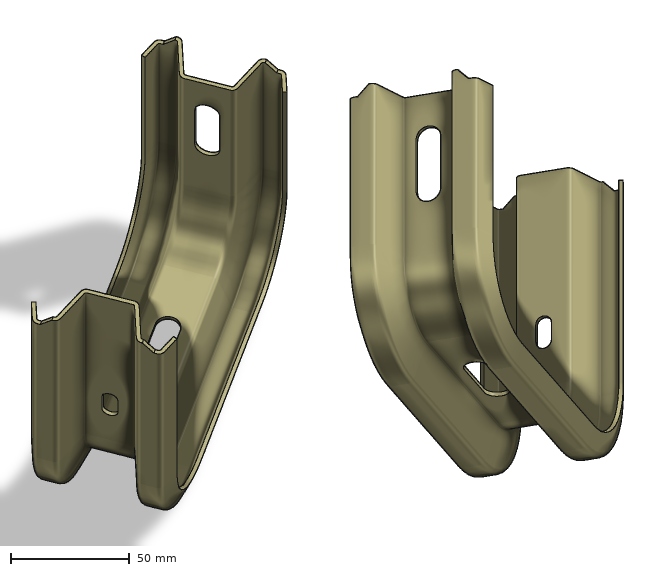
import cadquery as cq
import math

length = 175.0
long_leg_height = 145.0
short_leg_height = 120.0
outer_bend_radius = 45.0

thickness = 2.0
inner_fold_radius = 1.0
outer_fold_radius = inner_fold_radius + thickness
profile_width = 64.2
profile_depth = 20.0
web_half_width = 10.8
lean_angle = 20.0
crest_width = 11.0

lip_setback = 5.0
trim_start = 20.0

large_slot_length = 35.0
large_slot_width = 11.0
small_slot_length = 15.0
small_slot_width = 7.0
short_leg_slot_height = 87.5
long_leg_slot_height = 70.2


def unit(start, end):
    """Unit vector from one 2D point to another."""
    distance = math.dist(start, end)
    return (end[0] - start[0]) / distance, (end[1] - start[1]) / distance


def offset_path(points, distance):
    """Shift an open path to its left, keeping its corners sharp."""
    directions = [unit(a, b) for a, b in zip(points, points[1:])]
    shifted = []
    for index, (x, y) in enumerate(points):
        before = directions[max(index - 1, 0)]
        after = directions[min(index, len(directions) - 1)]
        scale = distance / (1 + before[0] * after[0] + before[1] * after[1])
        shifted.append((x - scale * (before[1] + after[1]), y + scale * (before[0] + after[0])))
    return shifted


def draw_rounded(outline, points, left_radius, right_radius):
    """Add an open path, rounding left and right turns with their own radii."""
    for before, corner, after in zip(points, points[1:], points[2:]):
        back = unit(corner, before)
        ahead = unit(corner, after)
        turns_left = back[1] * ahead[0] - back[0] * ahead[1] > 0
        radius = left_radius if turns_left else right_radius
        half_angle = math.acos(back[0] * ahead[0] + back[1] * ahead[1]) / 2
        tangent_length = radius / math.tan(half_angle)
        arc_depth = radius / math.sin(half_angle) - radius
        bisector = unit((0, 0), (back[0] + ahead[0], back[1] + ahead[1]))
        start, middle, end = [
            (corner[0] + reach * way[0], corner[1] + reach * way[1])
            for reach, way in ((tangent_length, back), (arc_depth, bisector), (tangent_length, ahead))
        ]
        outline = outline.lineTo(*start).threePointArc(middle, end)
    return outline.lineTo(*points[-1])


def sheet_profile():
    """Closed profile at the top of the long leg, with depth running along +Y."""
    lean = math.tan(math.radians(lean_angle))
    web_depth = profile_depth - thickness
    crest_inside = web_half_width + web_depth * lean
    crest_outside = crest_inside + crest_width
    lip_edge = profile_width / 2
    lip_depth = (lip_edge - crest_outside) / lean
    right_half = [
        (web_half_width, web_depth),
        (crest_inside, 0),
        (crest_outside, 0),
        (lip_edge, lip_depth),
    ]
    outer_face = [(-x, y) for x, y in reversed(right_half)] + right_half
    inner_face = offset_path(outer_face, thickness)
    inner_face.reverse()

    outline = cq.Workplane("XY", origin=(0, -length / 2, long_leg_height)).moveTo(*outer_face[0])
    outline = draw_rounded(outline, outer_face, outer_fold_radius, inner_fold_radius)
    outline = outline.lineTo(*inner_face[0])
    outline = draw_rounded(outline, inner_face, outer_fold_radius, inner_fold_radius)
    return outline.close()


def bracket_path():
    """U-shaped line along the outer face, down the long leg and up the short leg."""
    half_length = length / 2
    floor_half_length = half_length - outer_bend_radius
    arc_reach = outer_bend_radius * math.sqrt(0.5)
    arc_y = floor_half_length + arc_reach
    arc_z = outer_bend_radius - arc_reach
    return (
        cq.Workplane("YZ")
        .moveTo(-half_length, long_leg_height)
        .lineTo(-half_length, outer_bend_radius)
        .threePointArc((-arc_y, arc_z), (-floor_half_length, 0))
        .lineTo(floor_half_length, 0)
        .threePointArc((arc_y, arc_z), (half_length, outer_bend_radius))
        .lineTo(half_length, short_leg_height)
    )


def lip_trim(leg_height, side):
    """Waste at both edges of a leg end: a 45 degree corner, then a level step."""
    step_height = leg_height - lip_setback
    step_start = trim_start + lip_setback
    corner = (
        cq.Workplane("XZ")
        .moveTo(trim_start, leg_height)
        .lineTo(step_start, step_height)
        .lineTo(profile_width, step_height)
        .lineTo(profile_width, leg_height)
        .close()
        .extrude(-side * length)
    )
    return corner.union(corner.mirror("YZ"))


def leg_slot(slot_length, slot_width, height, side):
    """Cutter for an upright slot through the web of one leg."""
    return (
        cq.Workplane("XZ", origin=(0, 0, height))
        .slot2D(slot_length, slot_width, 90)
        .extrude(-side * length)
    )


floor_slot = (
    cq.Workplane("XY")
    .slot2D(large_slot_length, large_slot_width, 90)
    .extrude(outer_bend_radius)
)

result = (
    sheet_profile()
    .sweep(bracket_path())
    .cut(lip_trim(long_leg_height, -1))
    .cut(lip_trim(short_leg_height, 1))
    .cut(floor_slot)
    .cut(leg_slot(small_slot_length, small_slot_width, long_leg_slot_height, -1))
    .cut(leg_slot(large_slot_length, large_slot_width, short_leg_slot_height, 1))
)